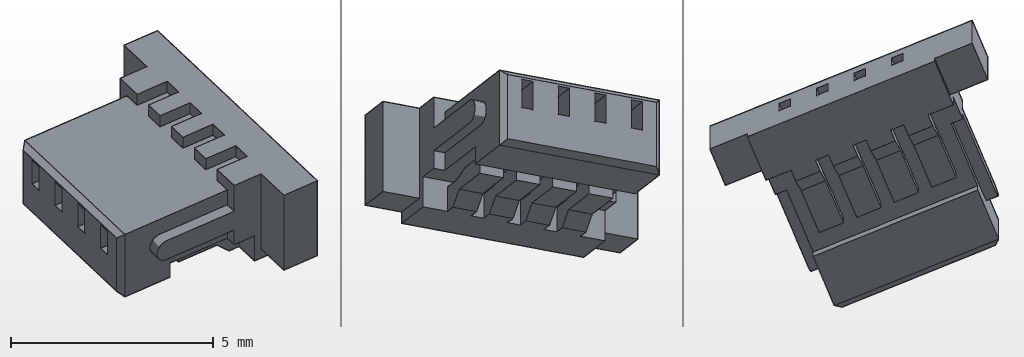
import cadquery as cq


contact_count = 4
contact_pitch = 1.0

flange_width = 7.0
flange_depth = 1.0
flange_height = 2.4

block_width = 5.0
block_depth = 1.8
block_height = 1.9
foot_depth = 1.2
total_height = 2.7

total_depth = 5.0
body_width = 4.39
body_top = -0.35
body_bottom = -2.35
nose_chamfer = 0.15
relief_end = 3.5

slot_width = 0.5
slot_start = 0.9

window_width = 0.3
window_top = -0.55
window_bottom = -1.3

arm_end = 4.1
arm_height = 0.6
arm_center = -1.13

finger_width = 0.65
finger_end = 3.0
finger_bevel_end = 1.85
finger_root_top = -2.05
finger_slope_start = 1.7
finger_slope_end = 2.17

contact_positions = [(i - (contact_count - 1) / 2) * contact_pitch for i in range(contact_count)]


def box_between(width, depth_start, depth_end, bottom, top, center_x=0.0):
    """Box centred on center_x, between two depths from the back face and two heights."""
    return cq.Workplane("XY").box(
        width, depth_end - depth_start, top - bottom, centered=(True, False, False)
    ).translate((center_x, -depth_end, bottom))


def make_body():
    """Plug body with a chamfered nose and a relief under its rear part."""
    body = box_between(body_width, 0, total_depth, body_bottom, body_top)
    body = body.faces("<Y").chamfer(nose_chamfer)
    relief = box_between(body_width, foot_depth, relief_end, body_bottom, -block_height)
    return body.cut(relief)


def make_arms():
    """Round-ended bar across the full block width; its ends form the arms beside the body."""
    radius = arm_height / 2
    straight_end = arm_end - radius
    return (
        cq.Workplane("YZ")
        .moveTo(-flange_depth, arm_center + radius)
        .lineTo(-straight_end, arm_center + radius)
        .threePointArc((-arm_end, arm_center), (-straight_end, arm_center - radius))
        .lineTo(-flange_depth, arm_center - radius)
        .close()
        .extrude(block_width / 2, both=True)
    )


def make_finger(center_x):
    """Finger from the foot to the body underside, with a 45 degree bevel below."""
    bevel = total_height + body_bottom
    profile = [
        (-foot_depth, -total_height),
        (-(finger_bevel_end - bevel), -total_height),
        (-finger_bevel_end, body_bottom),
        (-finger_end, body_bottom),
        (-finger_end, -block_height),
        (-finger_slope_end, -block_height),
        (-finger_slope_start, finger_root_top),
        (-foot_depth, finger_root_top),
    ]
    finger = cq.Workplane("YZ").polyline(profile).close().extrude(finger_width / 2, both=True)
    return finger.translate((center_x, 0, 0))


result = box_between(flange_width, 0, flange_depth, -flange_height, 0)
result = result.union(box_between(block_width, 0, block_depth, -block_height, 0))
result = result.union(box_between(block_width, 0, foot_depth, -total_height, 0))
result = result.union(make_body())
result = result.union(make_arms())

for x in contact_positions:
    result = result.union(make_finger(x))
    result = result.cut(box_between(slot_width, slot_start, block_depth, body_top, 0, x))
    result = result.cut(box_between(window_width, 0, total_depth, window_bottom, window_top, x))